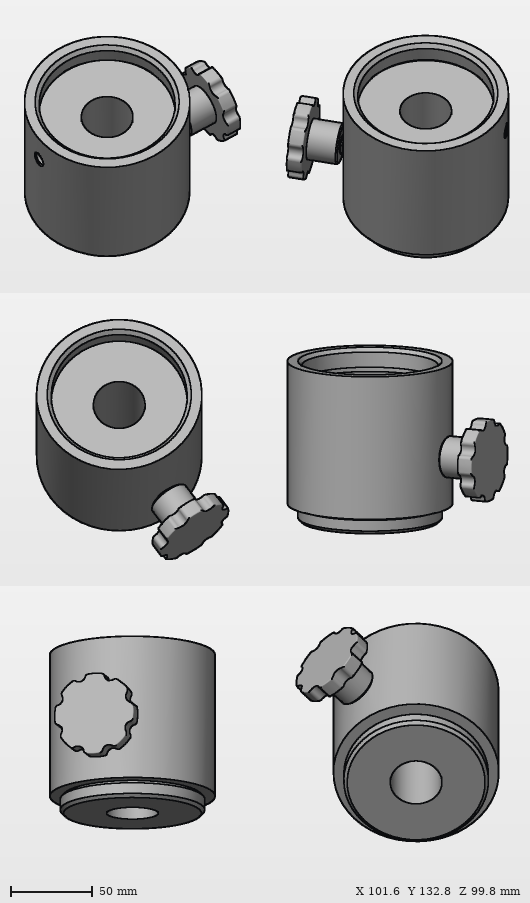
import cadquery as cq
import math

body_radius = 50.8
total_height = 99.8
bore_radius = 15.875

spigot_radius = 44.45
spigot_height = 10.7
neck_taper_height = 1.9
neck_radius = spigot_radius - neck_taper_height
spigot_chamfer = 2.1

socket_radius = 41.75
socket_depth = 15.2
mouth_chamfer = 2.5
undercut_height = 3.2
undercut_radius = socket_radius + mouth_chamfer

screw_hole_radius = 4.0
screw_hole_depth = 15.0
screw_hole_countersink = 0.9
screw_hole_drop = 20.85
screw_hole_z = total_height - screw_hole_drop

knob_drop = 55.2
knob_z = total_height - knob_drop
overall_length_y = 132.84
knob_outer_y = overall_length_y - body_radius
knob_radius = 25.4
knob_thickness = 9.65
knob_rim_fillet = 0.65
lobe_count = 8
lobe_offset_angle = 1.3
scallop_radius = 4.0
scallop_center_radius = 26.2
lobe_corner_radius = 2.5
hub_radius = 12.85
hub_chamfer = 0.9
hub_end_y = 53.15
knob_inner_y = knob_outer_y - knob_thickness

stud_major_radius = 6.35
stud_minor_radius = 5.2
thread_pitch = 1.95
ridge_count = 2
first_ridge_offset = 0.65


def make_body():
    """Revolve the outside, socket and bore of the body as one profile."""
    ledge_z = spigot_height
    floor_z = total_height - socket_depth
    profile = (
        cq.Workplane("XZ")
        .moveTo(bore_radius, 0)
        .lineTo(spigot_radius - spigot_chamfer, 0)
        .lineTo(spigot_radius, spigot_chamfer)
        .lineTo(spigot_radius, ledge_z - neck_taper_height)
        .lineTo(neck_radius, ledge_z)
        .lineTo(body_radius, ledge_z)
        .lineTo(body_radius, total_height)
        .lineTo(socket_radius + mouth_chamfer, total_height)
        .lineTo(socket_radius, total_height - mouth_chamfer)
        .lineTo(socket_radius, floor_z + undercut_height)
        .lineTo(undercut_radius, floor_z + undercut_height)
        .lineTo(undercut_radius, floor_z)
        .lineTo(bore_radius, floor_z)
        .close()
    )
    return profile.revolve(360, (0, 0, 0), (0, 1, 0))


def make_screw_hole():
    """Blind hole along Y, with a countersunk mouth on the -Y side."""
    mouth_y = -body_radius
    mouth_radius = screw_hole_radius + screw_hole_countersink
    profile = (
        cq.Workplane("XY")
        .moveTo(0, mouth_y - screw_hole_countersink)
        .lineTo(mouth_radius, mouth_y - screw_hole_countersink)
        .lineTo(mouth_radius, mouth_y)
        .lineTo(screw_hole_radius, mouth_y + screw_hole_countersink)
        .lineTo(screw_hole_radius, mouth_y + screw_hole_depth)
        .lineTo(0, mouth_y + screw_hole_depth)
        .close()
    )
    return profile.revolve(360, (0, 0, 0), (0, 1, 0)).translate((0, 0, screw_hole_z))


def polar_point(radius, angle):
    return (radius * math.sin(angle), radius * math.cos(angle))


def lobed_outline():
    """Closed outline of lobes and scallops with rounded lobe corners, centred on the origin."""
    corner_center_radius = knob_radius - lobe_corner_radius
    center_gap = scallop_radius + lobe_corner_radius
    corner_angle = math.acos(
        (corner_center_radius**2 + scallop_center_radius**2 - center_gap**2)
        / (2 * corner_center_radius * scallop_center_radius)
    )
    corner_x, corner_y = polar_point(corner_center_radius, corner_angle)
    blend_share = scallop_radius / center_gap
    blend_x = corner_x * blend_share
    blend_y = scallop_center_radius + (corner_y - scallop_center_radius) * blend_share
    blend_radius = math.hypot(blend_x, blend_y)
    blend_angle = math.atan2(blend_x, blend_y)

    rim_x, rim_y = polar_point(knob_radius, corner_angle)
    chord_x = (rim_x + blend_x) / 2 - corner_x
    chord_y = (rim_y + blend_y) / 2 - corner_y
    stretch = lobe_corner_radius / math.hypot(chord_x, chord_y)
    middle_x = corner_x + chord_x * stretch
    middle_y = corner_y + chord_y * stretch
    middle_radius = math.hypot(middle_x, middle_y)
    middle_angle = math.atan2(middle_x, middle_y)

    scallop_floor_radius = scallop_center_radius - scallop_radius
    step = 2 * math.pi / lobe_count
    outline = cq.Workplane("XY").moveTo(*polar_point(knob_radius, -corner_angle))
    for index in range(lobe_count):
        angle = index * step
        outline = (
            outline
            .threePointArc(
                polar_point(middle_radius, angle - middle_angle),
                polar_point(blend_radius, angle - blend_angle),
            )
            .threePointArc(
                polar_point(scallop_floor_radius, angle),
                polar_point(blend_radius, angle + blend_angle),
            )
            .threePointArc(
                polar_point(middle_radius, angle + middle_angle),
                polar_point(knob_radius, angle + corner_angle),
            )
            .threePointArc(
                polar_point(knob_radius, angle + step / 2),
                polar_point(knob_radius, angle + step - corner_angle),
            )
        )
    return outline.close()


def make_knob_head():
    """Rounded disc trimmed to the lobed outline, with its outer face at knob_outer_y."""
    disc = cq.Workplane("XY").circle(knob_radius).extrude(knob_thickness)
    disc = disc.edges().fillet(knob_rim_fillet)
    head = disc.intersect(lobed_outline().extrude(knob_thickness))
    first_lobe_angle = 180 / lobe_count
    head = head.rotate((0, 0, 0), (0, 0, 1), first_lobe_angle + lobe_offset_angle)
    head = head.rotate((0, 0, 0), (1, 0, 0), 90)
    return head.translate((0, knob_outer_y, knob_z))


def make_hub_and_stud():
    """Revolve the hub and the V-ridges of the stud about the knob axis; the last ridge meets the body."""
    flank_slope = (stud_major_radius - stud_minor_radius) / (thread_pitch / 2)
    first_flank_radius = stud_major_radius - flank_slope * first_ridge_offset
    first_ridge_y = hub_end_y - first_ridge_offset
    stud_end_y = first_ridge_y - (ridge_count - 0.5) * thread_pitch
    profile = (
        cq.Workplane("XY")
        .moveTo(0, knob_inner_y)
        .lineTo(hub_radius, knob_inner_y)
        .lineTo(hub_radius, hub_end_y + hub_chamfer)
        .lineTo(hub_radius - hub_chamfer, hub_end_y)
        .lineTo(first_flank_radius, hub_end_y)
    )
    for index in range(ridge_count):
        ridge_y = first_ridge_y - index * thread_pitch
        profile = (
            profile
            .lineTo(stud_major_radius, ridge_y)
            .lineTo(stud_minor_radius, ridge_y - thread_pitch / 2)
        )
    profile = profile.lineTo(0, stud_end_y).close()
    return profile.revolve(360, (0, 0, 0), (0, 1, 0)).translate((0, 0, knob_z))


result = make_body().cut(make_screw_hole()).union(make_hub_and_stud()).union(make_knob_head())